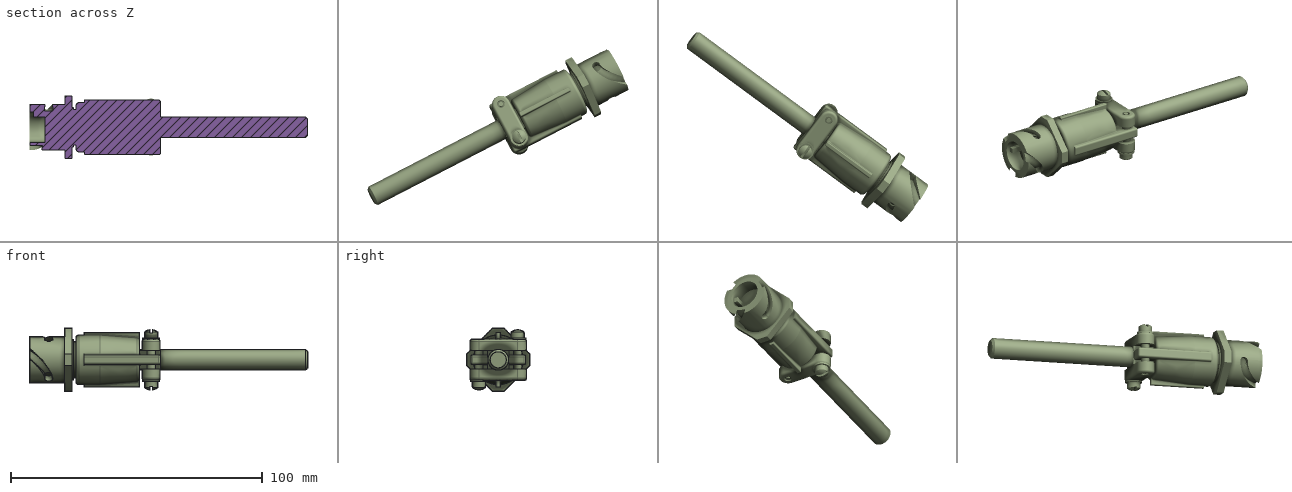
import cadquery as cq
import math

overall_length = 110.66
overall_width = 25.05
overall_height = 25.16

overlap = 1.0
tolerance = 0.1

shell_radius = 9.2
flange_start = 14.0
socket_radius = 5.9
socket_depth = 6.0
key_width = 2.0
key_height = 1.9
key_setback = 1.5

groove_count = 3
groove_entry_angle = 43.0
groove_turn = 73.0
groove_reach = 7.65
groove_width = 3.0
groove_floor_radius = 7.3
groove_points = 12
groove_entry_fraction = -0.2
detent_radius = 1.6
detent_floor_radius = 6.6

flange_thickness = 2.9
flange_square = 21.0
flange_end = flange_start + flange_thickness

ring_radius = 8.0
ring_end = 17.5
neck_radius = 7.2

body_start = 18.4
taper_start = 28.1
body_end = 43.8
body_radius = 9.9
body_end_radius = 8.7
body_front_fillet = 1.3
body_rear_fillet = 1.2

rib_start = 21.7
rib_reach = 10.9
arm_end = 52.1
arm_thickness = 3.9
rib_thickness = 1.8
arm_fillet = 0.75
root_fillet = 0.4
rib_fillet = 0.4

cable_radius = 4.1
cable_end_chamfer = 0.9

clamp_x = 48.35
clamp_pitch = 7.7
bar_radius = 3.6
saddle_width = 8.6
bar_inner_height = 3.7
bar_outer_height = 8.2
bar_fillet = 1.0
washer_radius = 3.4
washer_sink = 0.2
washer_rise = 0.5
washer_top = bar_outer_height + washer_rise
head_radius = 2.65
head_height = 2.3
dome_height = 1.0
slot_width = 1.0
slot_depth = 1.3
screw_radius = 1.7
tip_hole_radius = 1.5
tip_hole_depth = 1.0
tip_radius = 0.85


def cylinder_x(start, end, radius):
    """Cylinder along the connector axis."""
    return cq.Workplane("YZ").workplane(offset=start).circle(radius).extrude(end - start)


def make_shell():
    """Plug shell with a blind socket and a polarising key on its +Y wall."""
    shell = cylinder_x(0, flange_start, shell_radius)
    shell = shell.cut(cylinder_x(0, socket_depth, socket_radius))
    key_length = socket_depth - key_setback
    key = cq.Workplane("XY").box(
        key_length, key_height + overlap, key_width, centered=(False, False, True)
    )
    return shell.union(key.translate((key_setback, socket_radius - key_height, 0)))


def groove_point(fraction, radius):
    """Point on the groove centreline; the lead flattens towards the closed end."""
    angle = math.radians(groove_entry_angle + groove_turn * fraction)
    x = groove_reach * math.sin(math.pi / 2 * fraction)
    return cq.Vector(x, radius * math.cos(angle), radius * math.sin(angle))


def outward_direction(fraction):
    """Unit vector from the axis through the groove centreline."""
    return groove_point(fraction, 1.0) - groove_point(fraction, 0.0)


def radial_post(fraction, radius, floor_radius):
    """Cylinder standing on the groove floor and pointing away from the axis."""
    outward = outward_direction(fraction)
    base = groove_point(fraction, floor_radius)
    height = shell_radius + overlap - floor_radius
    return cq.Workplane(obj=cq.Solid.makeCylinder(radius, height, base, outward))


def make_groove():
    """Cutter for one bayonet groove, ending in a deeper round detent."""
    span = 1.0 - groove_entry_fraction
    fractions = [groove_entry_fraction + span * i / groove_points for i in range(groove_points + 1)]
    floor_path = cq.Edge.makeSpline([groove_point(f, groove_floor_radius) for f in fractions])
    guide = cq.Edge.makeSpline([groove_point(f, shell_radius) for f in fractions])
    start = groove_point(groove_entry_fraction, groove_floor_radius)
    outward = outward_direction(groove_entry_fraction)
    tangent = floor_path.tangentAt(0)
    across = outward.cross(tangent)
    depth = shell_radius + overlap - groove_floor_radius
    profile = (
        cq.Workplane(cq.Plane(start, xDir=across, normal=tangent))
        .center(0, depth / 2)
        .rect(groove_width, depth)
    )
    channel = profile.sweep(
        cq.Workplane(obj=cq.Wire.assembleEdges([floor_path])),
        auxSpine=cq.Workplane(obj=cq.Wire.assembleEdges([guide])),
    )
    return channel.union(radial_post(1.0, detent_radius, detent_floor_radius))


def make_flange():
    """Square flange standing on its corner, cropped to the overall width and height."""
    flange = (
        cq.Workplane("YZ")
        .workplane(offset=flange_start)
        .rect(flange_square, flange_square)
        .extrude(flange_thickness)
        .rotate((0, 0, 0), (1, 0, 0), 45)
    )
    crop = cq.Workplane("XY").box(overall_length, overall_width, overall_height)
    return flange.intersect(crop)


def make_body():
    """Neck rings and the rounded body, straight at first and then tapering."""
    neck = cylinder_x(flange_end, ring_end, ring_radius)
    neck = neck.union(cylinder_x(ring_end, body_start, neck_radius))
    body = (
        cq.Workplane("XY")
        .moveTo(body_start, 0)
        .lineTo(body_start, body_radius)
        .lineTo(taper_start, body_radius)
        .lineTo(body_end, body_end_radius)
        .lineTo(body_end, 0)
        .close()
        .revolve(360, (0, 0, 0), (1, 0, 0))
    )
    body = body.faces("<X").edges().fillet(body_front_fillet)
    body = body.faces(">X").edges().fillet(body_rear_fillet)
    return neck.union(body)


def make_ribs():
    """Short ribs on the +Z and -Z sides of the body."""
    rib_length = body_end - rib_start
    ribs = (
        cq.Workplane("XY")
        .box(rib_length, rib_thickness, 2 * rib_reach)
        .edges("|X or (|Z and >X)")
        .fillet(rib_fillet)
    )
    return ribs.translate((rib_start + rib_length / 2, 0, 0))


def make_arms():
    """Web through the axis whose Y ends form the side ribs and the clamp ears."""
    arm_length = arm_end - rib_start
    arms = (
        cq.Workplane("XY")
        .box(arm_length, 2 * rib_reach, arm_thickness)
        .edges("|X or >X")
        .fillet(arm_fillet)
    )
    return arms.translate((rib_start + arm_length / 2, 0, 0))


def is_root(edge):
    """True for a lengthwise edge lying on the body surface ahead of its rear fillet."""
    box = edge.BoundingBox()
    middle = edge.positionAt(0.5)
    lengthwise = box.xlen > root_fillet
    distance = math.hypot(middle.y, middle.z)
    on_body = body_end_radius - tolerance < distance < body_radius + tolerance
    root_end = body_end - body_rear_fillet
    beside_fin = rib_start - tolerance < box.xmin and box.xmax < root_end + tolerance
    return lengthwise and on_body and beside_fin


def make_backshell():
    """Body with the arms and ribs blended into it by small root fillets."""
    with_arms = make_body().union(make_arms())
    arm_roots = [edge for edge in with_arms.edges().vals() if is_root(edge)]
    with_arms = with_arms.newObject(arm_roots).fillet(root_fillet)
    with_ribs = with_arms.union(make_ribs())
    rib_roots = [
        edge for edge in with_ribs.edges().vals()
        if is_root(edge) and abs(edge.positionAt(0.5).y) < rib_thickness
    ]
    return with_ribs.newObject(rib_roots).fillet(root_fillet)


def make_cable():
    """Round cable leaving the rear of the body."""
    cable = cylinder_x(body_end - overlap, overall_length, cable_radius)
    return cable.faces(">X").chamfer(cable_end_chamfer)


def make_saddle():
    """Block around the cable, between the ears, on which the clamp bars close."""
    length = arm_end - body_end
    saddle = cq.Workplane("XY").box(length, saddle_width, 2 * bar_inner_height)
    return saddle.translate((body_end + length / 2, 0, 0))


def make_screw():
    """Slotted dome-head screw at +Y, with its washer and with its head up."""
    head_top = washer_top + head_height
    dome_top = head_top + dome_height
    dome_radius = (head_radius**2 + dome_height**2) / (2 * dome_height)
    half_angle = math.asin(head_radius / dome_radius) / 2
    dome_middle = (
        dome_radius * math.sin(half_angle),
        dome_top - dome_radius * (1 - math.cos(half_angle)),
    )
    shank_end = tip_hole_depth - bar_outer_height
    washer_seat = bar_outer_height - washer_sink
    screw = (
        cq.Workplane("XZ")
        .moveTo(0, shank_end)
        .lineTo(screw_radius, shank_end)
        .lineTo(screw_radius, washer_seat)
        .lineTo(washer_radius, washer_seat)
        .lineTo(washer_radius, washer_top)
        .lineTo(head_radius, washer_top)
        .lineTo(head_radius, head_top)
        .threePointArc(dome_middle, (0, dome_top))
        .close()
        .revolve(360, (0, 0, 0), (0, 1, 0))
    )
    slot = cq.Workplane("XY").box(slot_width, 2 * washer_radius, 2 * slot_depth)
    screw = screw.cut(slot.translate((0, 0, dome_top)))
    return screw.translate((clamp_x, clamp_pitch, 0))


def make_bar():
    """Upper clamp bar, with a recess at -Y around the tip of the opposite screw."""
    bar_length = 2 * (clamp_pitch + bar_radius)
    bar = (
        cq.Workplane("XY")
        .workplane(offset=bar_inner_height)
        .center(clamp_x, 0)
        .slot2D(bar_length, 2 * bar_radius, 90)
        .extrude(bar_outer_height - bar_inner_height)
        .faces(">Z")
        .edges()
        .fillet(bar_fillet)
    )
    recess = (
        cq.Workplane("XY")
        .workplane(offset=bar_outer_height - tip_hole_depth)
        .center(clamp_x, -clamp_pitch)
        .circle(tip_hole_radius)
        .circle(tip_radius)
        .extrude(tip_hole_depth)
    )
    return bar.cut(recess)


def make_clamp():
    """Two bars and two screws; the lower half is the upper one turned about the axis."""
    half = make_bar().union(make_screw())
    return half.union(half.rotate((0, 0, 0), (1, 0, 0), 180))


groove = make_groove()
shell = make_shell()
for index in range(groove_count):
    shell = shell.cut(groove.rotate((0, 0, 0), (1, 0, 0), index * 360 / groove_count))

result = shell
for piece in (make_flange(), make_backshell(), make_saddle(), make_cable(), make_clamp()):
    result = result.union(piece)